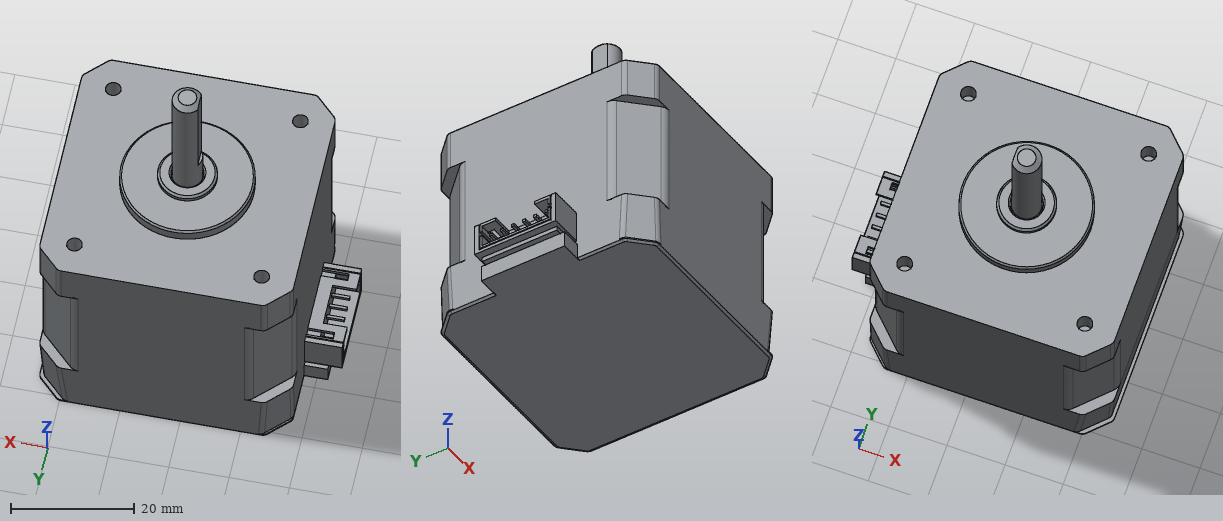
import cadquery as cq
BODY_SIDE = 42.0
HALF_SIDE = BODY_SIDE / 2
BODY_TOP = 38.05
WAIST_BOTTOM = 9.75
WAIST_TOP = 30.7
END_CORNER = 3.9
WAIST_CORNER = 6.4
END_ROUND = 1.3
WAIST_ROUND = 2.0

BASE_HEIGHT = 0.5
BASE_CHAMFER_HEIGHT = 0.25
BASE_CHAMFER_INSET = 0.5
LEAN_INSET = 0.55
LEAN_CORNER = 4.35

HOLE_PITCH = 31.0
HOLE_DIAMETER = 2.5
HOLE_DEPTH = 4.5

PILOT_DIAMETER = 22.0
PILOT_TOP = 40.05
PILOT_CHAMFER = 0.3
COLLAR_DIAMETER = 9.75
COLLAR_TOP = 41.1
COLLAR_CHAMFER = 0.4
BORE_DIAMETER = 5.4
BORE_MOUTH_DIAMETER = 6.0

SHAFT_DIAMETER = 5.0
SHAFT_TOP = 62.9
SHAFT_TIP_DIAMETER = 3.0
SHAFT_TIP_HEIGHT = 0.8
FLAT_DISTANCE = 2.0
FLAT_BOTTOM = 45.9

HOUSING_LENGTH = 6.2
HOUSING_WIDTH = 15.7
HOUSING_BOTTOM = 3.85
HOUSING_TOP = WAIST_BOTTOM
NECK_LENGTH = 4.9
NECK_WIDTH = 14.45
FOOT_LENGTH = 3.9
FOOT_WIDTH = 16.1
FOOT_TOP = 3.0
CAVITY_DEPTH = 3.95
CAVITY_WIDTH = 12.85
CAVITY_BOTTOM = 5.1
CAVITY_TOP = 9.2
GROOVE_OUTER_WIDTH = 13.95
GROOVE_GAP = 0.2
GROOVE_BOTTOM = 4.45
KEY_BOTTOM = 7.25
KEY_TOP = 8.05
NOTCH_WIDTH = 7.55
WINDOW_SETBACK = 1.8
WINDOW_CENTER = 5.85
WINDOW_WIDTH = 1.25
PIN_COUNT = 6
PIN_PITCH = 2.15
PIN_SIZE = 0.5
PIN_SETBACK = 1.0
PIN_HEIGHT = 7.7

CONNECTOR_FRONT = -HALF_SIDE - HOUSING_LENGTH
EMBED = 1.25


def square_outline(corner, rounding, inset=0.0):
    """Square with cut, rounded corners; inset moves only the +X side inward."""
    return (
        cq.Sketch()
        .push([(-inset / 2, 0)])
        .rect(BODY_SIDE - inset, BODY_SIDE)
        .reset()
        .vertices()
        .chamfer(corner)
        .reset()
        .vertices()
        .fillet(rounding)
    )


def prism(outline, bottom, top):
    return cq.Workplane("XY").workplane(offset=bottom).placeSketch(outline).extrude(top - bottom)


def block(x_range, y_center, width, z_range):
    """Box spanning the X and Z ranges, with its width centred on y_center."""
    length = x_range[1] - x_range[0]
    height = z_range[1] - z_range[0]
    return (
        cq.Workplane("XY")
        .box(length, width, height, centered=(False, True, False))
        .translate((x_range[0], y_center, z_range[0]))
    )


def cylinder(diameter, bottom, top):
    return cq.Workplane("XY").workplane(offset=bottom).circle(diameter / 2).extrude(top - bottom)


def make_body():
    end_outline = square_outline(END_CORNER, END_ROUND)
    base = prism(end_outline, 0, BASE_HEIGHT).faces("<Z").chamfer(BASE_CHAMFER_HEIGHT, BASE_CHAMFER_INSET)
    lean_rise = cq.Location(cq.Vector(0, 0, WAIST_BOTTOM - BASE_HEIGHT))
    lower_bell = (
        cq.Workplane("XY")
        .workplane(offset=BASE_HEIGHT)
        .placeSketch(square_outline(LEAN_CORNER, END_ROUND, LEAN_INSET), end_outline.moved(lean_rise))
        .loft(ruled=True)
    )
    waist = prism(square_outline(WAIST_CORNER, WAIST_ROUND), WAIST_BOTTOM, WAIST_TOP)
    upper_bell = prism(end_outline, WAIST_TOP, BODY_TOP)
    holes = (
        cq.Workplane("XY")
        .workplane(offset=BODY_TOP - HOLE_DEPTH)
        .rect(HOLE_PITCH, HOLE_PITCH, forConstruction=True)
        .vertices()
        .circle(HOLE_DIAMETER / 2)
        .extrude(HOLE_DEPTH)
    )
    return base.union(lower_bell).union(waist).union(upper_bell).cut(holes)


def make_pilot():
    pilot = cylinder(PILOT_DIAMETER, BODY_TOP, PILOT_TOP).faces(">Z").chamfer(PILOT_CHAMFER)
    collar = cylinder(COLLAR_DIAMETER, PILOT_TOP, COLLAR_TOP).faces(">Z").chamfer(COLLAR_CHAMFER)
    bore = cylinder(BORE_DIAMETER, PILOT_TOP, COLLAR_TOP)
    mouth_chamfer = (BORE_MOUTH_DIAMETER - BORE_DIAMETER) / 2
    collar = collar.cut(bore).faces(">Z").edges("%CIRCLE").edges(cq.selectors.RadiusNthSelector(0))
    return pilot.union(collar.chamfer(mouth_chamfer))


def make_shaft():
    tip_inset = (SHAFT_DIAMETER - SHAFT_TIP_DIAMETER) / 2
    shaft = (
        cylinder(SHAFT_DIAMETER, BODY_TOP, SHAFT_TOP)
        .faces(">Z")
        .edges()
        .chamfer(SHAFT_TIP_HEIGHT, tip_inset)
    )
    flat = block((-SHAFT_DIAMETER, -FLAT_DISTANCE), 0, SHAFT_DIAMETER, (FLAT_BOTTOM, SHAFT_TOP))
    return shaft.cut(flat)


def make_housing():
    to_body = (CONNECTOR_FRONT, -HALF_SIDE)
    to_cavity_back = (CONNECTOR_FRONT, CONNECTOR_FRONT + CAVITY_DEPTH)
    housing = block(
        (CONNECTOR_FRONT, -HALF_SIDE + EMBED), 0, HOUSING_WIDTH, (HOUSING_BOTTOM, HOUSING_TOP)
    )

    groove_core = block(
        to_body,
        0,
        GROOVE_OUTER_WIDTH - 2 * GROOVE_GAP,
        (GROOVE_BOTTOM + GROOVE_GAP, HOUSING_TOP),
    )
    groove = block(to_body, 0, GROOVE_OUTER_WIDTH, (GROOVE_BOTTOM, HOUSING_TOP)).cut(groove_core)

    cavity = block(to_cavity_back, 0, CAVITY_WIDTH, (CAVITY_BOTTOM, CAVITY_TOP))
    side_keys = block(to_cavity_back, 0, GROOVE_OUTER_WIDTH, (KEY_BOTTOM, KEY_TOP))
    top_wall = (CAVITY_TOP, HOUSING_TOP)
    notch = block(to_cavity_back, 0, NOTCH_WIDTH, top_wall)
    housing = housing.cut(groove).cut(cavity).cut(side_keys).cut(notch)

    window_range = (CONNECTOR_FRONT + WINDOW_SETBACK, -HALF_SIDE)
    for side in (-1, 1):
        housing = housing.cut(block(window_range, side * WINDOW_CENTER, WINDOW_WIDTH, top_wall))
    return housing


def make_pins():
    pin_range = (CONNECTOR_FRONT + PIN_SETBACK, -HALF_SIDE)
    pin_levels = (PIN_HEIGHT - PIN_SIZE / 2, PIN_HEIGHT + PIN_SIZE / 2)
    pins = cq.Workplane("XY")
    for index in range(PIN_COUNT):
        y_center = (index - (PIN_COUNT - 1) / 2) * PIN_PITCH
        pins = pins.add(block(pin_range, y_center, PIN_SIZE, pin_levels))
    return pins.combine()


def make_connector_support():
    inner_end = -HALF_SIDE + EMBED
    neck = block((-HALF_SIDE - NECK_LENGTH, inner_end), 0, NECK_WIDTH, (FOOT_TOP, HOUSING_BOTTOM))
    foot = block((-HALF_SIDE - FOOT_LENGTH, inner_end), 0, FOOT_WIDTH, (0, FOOT_TOP))
    return neck.union(foot)


result = (
    make_body()
    .union(make_pilot())
    .union(make_shaft())
    .union(make_housing())
    .union(make_pins())
    .union(make_connector_support())
)